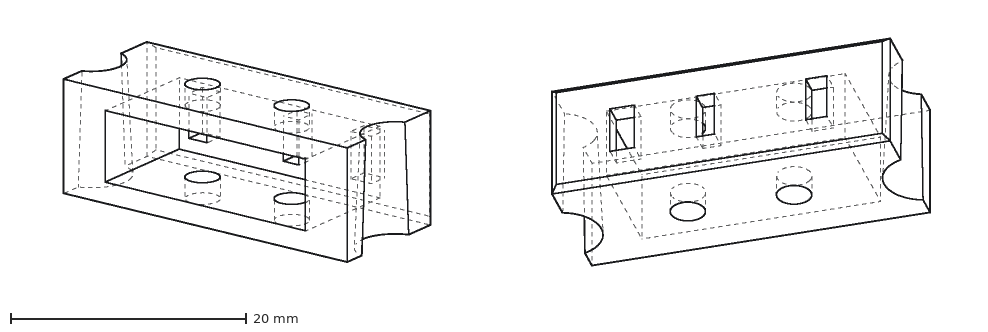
import cadquery as cq

LENGTH = 30.0
DEPTH = 12.5
HEIGHT = 10.3
REAR_CHAMFER = 0.55

CAVITY_LENGTH = 21.18
CAVITY_HEIGHT = 6.45
REAR_WALL = 1.9
MID_Z = HEIGHT / 2

SLOTS = [
    (-8.6, 1.9, 4.08),
    (1.23, 1.62, 4.08),
    (8.6, 2.15, 4.25),
]

HOLE_DIAMETER = 3.0
HOLE_SPACING = 9.42
HOLE_Y = 6.0

NOTCH_Y = 5.45
NOTCH_AXIS_OFFSET = 1.05
NOTCH_TOP_RADIUS = 3.0
NOTCH_BOTTOM_RADIUS = 3.5


def block():
    """Solid block with the four edges of its rear face chamfered."""
    shoulder_y = DEPTH - REAR_CHAMFER
    body = cq.Workplane("XY").box(LENGTH, shoulder_y, HEIGHT, centered=(True, False, False))
    rear_frustum = (
        cq.Workplane("XZ", origin=(0, shoulder_y, MID_Z))
        .rect(LENGTH, HEIGHT)
        .workplane(offset=-REAR_CHAMFER)
        .rect(LENGTH - 2 * REAR_CHAMFER, HEIGHT - 2 * REAR_CHAMFER)
        .loft(ruled=True)
    )
    return body.union(rear_frustum)


def front_opening(x, width, height, depth):
    """Rectangular cutter running back from the front face at mid height."""
    cutter = cq.Workplane("XY").box(width, depth, height, centered=(True, False, True))
    return cutter.translate((x, 0, MID_Z))


def end_notch(side):
    """Conical cutter at the left (-1) or right (+1) end, wider at the bottom."""
    cone = cq.Solid.makeCone(NOTCH_BOTTOM_RADIUS, NOTCH_TOP_RADIUS, HEIGHT)
    return cone.translate(cq.Vector(side * (LENGTH / 2 + NOTCH_AXIS_OFFSET), NOTCH_Y, 0))


result = block()
result = result.cut(front_opening(0, CAVITY_LENGTH, CAVITY_HEIGHT, DEPTH - REAR_WALL))

for slot_x, slot_width, slot_height in SLOTS:
    result = result.cut(front_opening(slot_x, slot_width, slot_height, DEPTH))

for side in (-1, 1):
    hole_x = side * HOLE_SPACING / 2
    hole = cq.Workplane("XY").center(hole_x, HOLE_Y).circle(HOLE_DIAMETER / 2).extrude(HEIGHT)
    result = result.cut(hole)
    result = result.cut(end_notch(side))